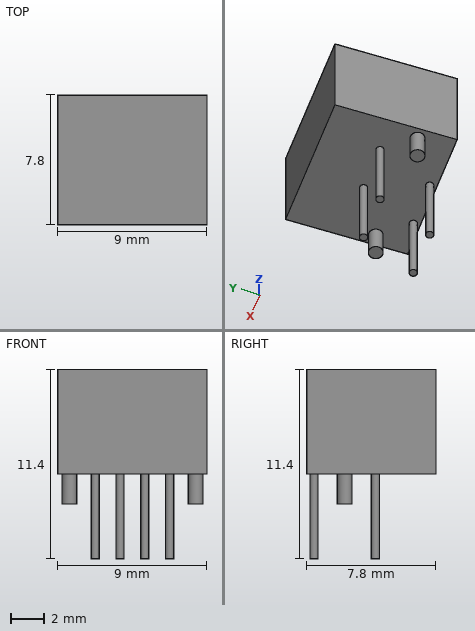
import cadquery as cq

housing_length = 9.0
housing_width = 7.8
overall_height = 11.4
pin_length = 5.1
housing_height = overall_height - pin_length

pin_diameter = 0.5
pin_pitch = 1.49
front_row_y = -3.45
row_spacing = 3.69
back_row_y = front_row_y + row_spacing
pin_places = [
    (-1.5 * pin_pitch, back_row_y),
    (-0.5 * pin_pitch, front_row_y),
    (0.5 * pin_pitch, back_row_y),
    (1.5 * pin_pitch, front_row_y),
]

post_diameter = 0.9
post_length = 1.8
post_offset = 3.8
post_y = (front_row_y + back_row_y) / 2
post_places = [(-post_offset, post_y), (post_offset, post_y)]


def make_housing():
    """Block with its underside on Z = 0."""
    return cq.Workplane("XY").box(
        housing_length, housing_width, housing_height, centered=(True, True, False)
    )


def make_peg(place, diameter, length):
    """Round peg hanging down from the underside of the housing."""
    return cq.Workplane("XY").center(*place).circle(diameter / 2).extrude(-length)


housing = make_housing()
pins = [make_peg(place, pin_diameter, pin_length) for place in pin_places]
posts = [make_peg(place, post_diameter, post_length) for place in post_places]

result = cq.Compound.makeCompound([body.val() for body in [housing, *pins, *posts]])